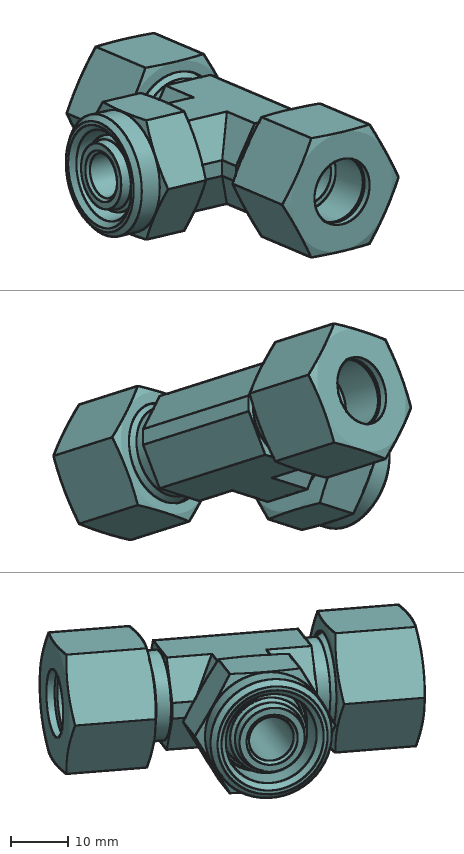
import cadquery as cq
import math

nut_flats = 22.0
nut_corners = nut_flats / math.cos(math.radians(30))
chamfer_radius = 10.95
chamfer_angle = 15

block_flats = 17.0
block_corners = block_flats / math.cos(math.radians(30))
block_width = 18.0
run_block_end = 13.05
branch_block_end = 13.7
neck_radius = 8.0

run_end = 32
run_nut_start = 16.5
run_nut_lip = 1.5
tube_radius = 6.0
run_socket_floor = 22.1
run_bore_radius = 5.0
run_thread_radius = 9.0
run_neck_end = 15.7
run_flare_angle = 30
run_lip_start = run_end - run_nut_lip
run_end_gap = 0.5
run_thread_end = run_lip_start - run_end_gap

branch_nut_start = 14.85
branch_hex_end = 24.05
branch_nut_end = 41.7 - nut_corners / 2
collar_radius = 10.95
collar_chamfer = 1.0
branch_thread_radius = 8.2
mouth_chamfer = 1.0
branch_bore_radius = 4.0
branch_bore_chamfer = 0.6

cone_tip_end = branch_nut_end - 0.3
cone_tip_radius = 5.9
cone_base_radius = 7.5
cone_half_angle = 12
cone_base = cone_tip_end - (cone_base_radius - cone_tip_radius) / math.tan(math.radians(cone_half_angle))
ring_section_radius = 0.8
ring_outer_radius = 6.9
ring_centre_radius = ring_outer_radius - ring_section_radius
ring_position = cone_tip_end - 2.55

RUN_ANGLES = (0, 180)
BRANCH_ANGLE = -90


def turned(points):
    """Solid of revolution about X from (x, radius) points."""
    return cq.Workplane("XY").polyline(points).close().revolve(360, (0, 0, 0), (1, 0, 0))


def cylinder(start, end, radius):
    return cq.Workplane("YZ").workplane(offset=start).circle(radius).extrude(end - start)


def aim(port, angle):
    return port.rotate((0, 0, 0), (0, 0, 1), angle)


def hexagon_bar(start, end, corners):
    """Hexagonal bar along X with flats at the top and bottom."""
    return cq.Workplane("YZ").workplane(offset=start).polygon(6, corners).extrude(end - start)


def chamfered_hexagon(start, end):
    """Nut hexagon whose corners are turned off at both ends."""
    outer = nut_corners / 2
    depth = (outer - chamfer_radius) * math.tan(math.radians(chamfer_angle))
    envelope = turned([
        (start, 0),
        (start, chamfer_radius),
        (start + depth, outer),
        (end - depth, outer),
        (end, chamfer_radius),
        (end, 0),
    ])
    return hexagon_bar(start, end, nut_corners).intersect(envelope)


def block_bar(start, end):
    """Bar of the tee block: a hexagon with its two side corners cut flat."""
    length = end - start
    limit = cq.Workplane("XY").box(length, block_width, block_flats)
    return hexagon_bar(start, end, block_corners).intersect(limit.translate(((start + end) / 2, 0, 0)))


def run_stud():
    """Neck that flares up to the threaded end of a run port."""
    flare = (run_thread_radius - neck_radius) / math.tan(math.radians(run_flare_angle))
    return turned([
        (0, 0),
        (0, neck_radius),
        (run_neck_end, neck_radius),
        (run_neck_end + flare, run_thread_radius),
        (run_thread_end, run_thread_radius),
        (run_thread_end, 0),
    ])


def branch_stud():
    """Neck with the sealing cone at its end."""
    return turned([
        (0, 0),
        (0, neck_radius),
        (cone_base, neck_radius),
        (cone_base, cone_base_radius),
        (cone_tip_end, cone_tip_radius),
        (cone_tip_end, 0),
    ])


def branch_bore():
    """Branch passage with a chamfered mouth."""
    return turned([
        (0, 0),
        (0, branch_bore_radius),
        (cone_tip_end - branch_bore_chamfer, branch_bore_radius),
        (cone_tip_end, branch_bore_radius + branch_bore_chamfer),
        (cone_tip_end, 0),
    ])


def make_o_ring():
    section = cq.Workplane("XY").center(ring_position, ring_centre_radius).circle(ring_section_radius)
    ring = section.revolve(360, (-ring_position, -ring_centre_radius, 0),
                           (0.65 - ring_position, -ring_centre_radius, 0))
    return aim(ring, BRANCH_ANGLE)


def make_tee(o_ring):
    tee = block_bar(-run_block_end, run_block_end)
    tee = tee.union(aim(block_bar(0, branch_block_end), BRANCH_ANGLE))
    tee = tee.union(aim(branch_stud(), BRANCH_ANGLE))
    for angle in RUN_ANGLES:
        tee = tee.union(aim(run_stud(), angle))
    tee = tee.cut(cylinder(-run_end, run_end, run_bore_radius))
    for angle in RUN_ANGLES:
        tee = tee.cut(aim(cylinder(run_socket_floor, run_thread_end, tube_radius), angle))
    tee = tee.cut(aim(branch_bore(), BRANCH_ANGLE))
    return tee.cut(o_ring)


def make_run_nut(angle):
    nut = chamfered_hexagon(run_nut_start, run_end)
    nut = nut.cut(cylinder(run_nut_start, run_lip_start, run_thread_radius))
    nut = nut.cut(cylinder(run_lip_start, run_end, tube_radius))
    return aim(nut, angle)


def make_branch_nut():
    collar = turned([
        (branch_hex_end, 0),
        (branch_hex_end, collar_radius),
        (branch_nut_end - collar_chamfer, collar_radius),
        (branch_nut_end, collar_radius - collar_chamfer),
        (branch_nut_end, 0),
    ])
    opening = turned([
        (branch_nut_start, 0),
        (branch_nut_start, neck_radius),
        (cone_base, neck_radius),
        (cone_base, branch_thread_radius),
        (branch_nut_end - mouth_chamfer, branch_thread_radius),
        (branch_nut_end, branch_thread_radius + mouth_chamfer),
        (branch_nut_end, 0),
    ])
    nut = chamfered_hexagon(branch_nut_start, branch_hex_end).union(collar).cut(opening)
    return aim(nut, BRANCH_ANGLE)


o_ring = make_o_ring()
tee = make_tee(o_ring)
run_nuts = [make_run_nut(angle) for angle in RUN_ANGLES]
branch_nut = make_branch_nut()

result = cq.Compound.makeCompound([
    tee.val(),
    *[nut.val() for nut in run_nuts],
    branch_nut.val(),
    o_ring.val(),
])